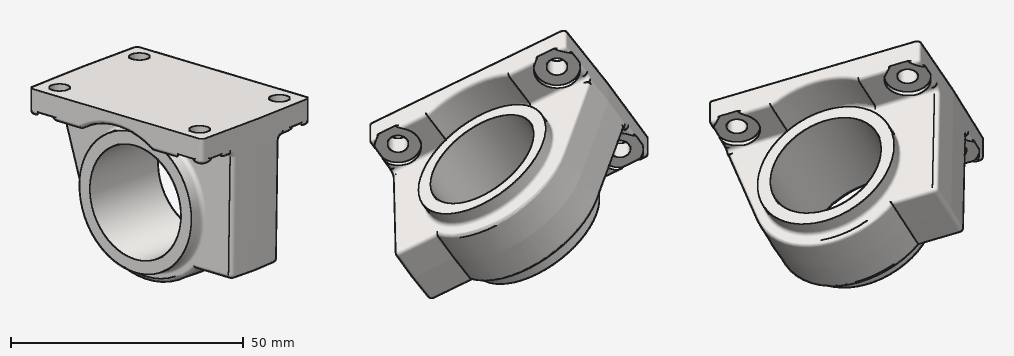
import cadquery as cq
import math

plate_length = 50.0
plate_width = 35.0
plate_thickness = 6.0
hole_diameter = 4.5
hole_spacing_x = 40.0
hole_spacing_y = 26.0
spotface_diameter = 10.0
spotface_depth = 1.0

housing_width = 15.0
housing_radius = 19.0
bore_drop = 22.0
bore_diameter = 26.0
collar_diameter = 32.0
collar_length = 22.25
foot_drop = 35.0
overlap = 2.0

draft_angle = 1.0
round_radius = 1.0

draft_slope = math.tan(math.radians(draft_angle))
half_length = plate_length / 2
half_width = plate_width / 2
half_housing = housing_width / 2
half_neck = half_housing + round_radius
neck_drop = plate_thickness + round_radius
housing_top = overlap - plate_thickness
arc_bend = round_radius * (1 - math.sqrt(0.5))

flank_start = (-half_length, -plate_thickness)
flank_rise = bore_drop - plate_thickness
tangent_angle = math.atan2(flank_rise, -half_length) + math.acos(
    housing_radius / math.hypot(half_length, flank_rise)
)
flank_end = (
    housing_radius * math.cos(tangent_angle),
    housing_radius * math.sin(tangent_angle) - bore_drop,
)


def end_x(y):
    """X of the drafted end face at a distance y from the parting plane Y = 0."""
    return half_length - y * draft_slope


def mirror_across_parting(half):
    """Half on the +Y side joined with its mirror image on the -Y side."""
    return half.union(half.mirror("XZ"))


def make_plate():
    """Plate drafted at both ends, with rounded corners and lower edges."""
    outline = [
        (half_length, 0),
        (end_x(half_width), half_width),
        (-end_x(half_width), half_width),
        (-half_length, 0),
        (-end_x(half_width), -half_width),
        (end_x(half_width), -half_width),
    ]
    plate = cq.Workplane("XY").polyline(outline).close().extrude(-plate_thickness)
    corners = plate.edges("|Z").edges(">Y or <Y")
    return corners.add(plate.edges("<Z")).fillet(round_radius)


def make_neck():
    """Root of the housing, widened by inner fillets that run out in rounded ends."""
    outline = [
        (half_length, housing_top),
        (-half_length, housing_top),
        flank_start,
        flank_end,
        (half_length, flank_end[1]),
    ]
    half = cq.Workplane("XZ").polyline(outline).close().extrude(-half_neck, taper=draft_angle)
    below_neck = cq.Workplane("XY", origin=(0, 0, -neck_drop)).rect(2 * plate_length, 2 * plate_width)
    half = half.cut(below_neck.extrude(-bore_drop))

    end = end_x(half_housing - round_radius)
    lip = end - round_radius
    flare = 2 * round_radius
    cove = (
        cq.Workplane("XY", origin=(0, half_neck, -neck_drop))
        .moveTo(-end, 0)
        .lineTo(-end, -flare)
        .threePointArc((arc_bend - end, -round_radius - arc_bend), (-lip, -round_radius))
        .lineTo(lip, -round_radius)
        .threePointArc((end - arc_bend, -round_radius - arc_bend), (end, -flare))
        .lineTo(end, 0)
        .close()
        .revolve(90, (0, 0, 0), (-1, 0, 0))
    )
    return mirror_across_parting(half.cut(cove))


def make_arch_relief():
    """Turned clearance over each collar, filleted to the housing and rounded at the plate's side."""
    inner = housing_radius - round_radius
    outer = housing_radius + round_radius
    lip = half_width - round_radius
    relief = (
        cq.Workplane("XY", origin=(0, 0, -bore_drop))
        .moveTo(0, half_housing)
        .lineTo(inner, half_housing)
        .threePointArc((housing_radius - arc_bend, half_housing + arc_bend), (housing_radius, half_neck))
        .lineTo(housing_radius, lip)
        .threePointArc((housing_radius + arc_bend, half_width - arc_bend), (outer, half_width))
        .lineTo(0, half_width)
        .close()
        .revolve(360, (0, 0, 0), (0, 1, 0))
    )
    return mirror_across_parting(relief)


def make_housing():
    """Drafted web with a sloping left flank, a round underside and a square right foot."""
    round_half = (
        cq.Workplane("XZ")
        .moveTo(housing_radius, housing_top)
        .lineTo(-half_length, housing_top)
        .lineTo(*flank_start)
        .lineTo(*flank_end)
        .threePointArc((0, -bore_drop - housing_radius), (housing_radius, -bore_drop))
        .close()
        .extrude(-half_housing, taper=draft_angle)
    )
    round_half = round_half.faces(">Y").edges("not >Z").fillet(round_radius)

    foot_bottom_x = half_length - (foot_drop - neck_drop) * draft_slope
    foot_outline = [
        (half_length, housing_top),
        (0, housing_top),
        (0, -foot_drop),
        (foot_bottom_x, -foot_drop),
        (half_length, -neck_drop),
    ]
    foot_half = cq.Workplane("XZ").polyline(foot_outline).close()
    foot_half = foot_half.extrude(-half_housing, taper=draft_angle)
    foot_corner = foot_half.faces("<Z").edges(">X")
    foot_rim = foot_half.faces(">Y").edges("not (>Z or <X)")
    foot_half = foot_corner.add(foot_rim).fillet(round_radius)

    return mirror_across_parting(round_half.union(foot_half))


def make_collars():
    """Turned collar on each side of the housing, with a filleted root."""
    radius = collar_diameter / 2
    half = (
        cq.Workplane("XY", origin=(0, 0, -bore_drop))
        .lineTo(radius + round_radius, 0)
        .lineTo(radius + round_radius, half_housing)
        .threePointArc((radius + arc_bend, half_housing + arc_bend), (radius, half_neck))
        .lineTo(radius, collar_length / 2)
        .lineTo(0, collar_length / 2)
        .close()
        .revolve(360, (0, 0, 0), (0, 1, 0))
    )
    return mirror_across_parting(half)


def make_bore():
    """Bearing bore through the housing and both collars."""
    bore = cq.Workplane("XZ", origin=(0, 0, -bore_drop)).circle(bore_diameter / 2)
    return bore.extrude(plate_width, both=True)


def make_bolt_holes():
    """Four bolt holes through the plate with shallow spotfaces underneath."""
    hole_grid = cq.Workplane("XY").rect(hole_spacing_x, hole_spacing_y, forConstruction=True)
    holes = hole_grid.vertices().circle(hole_diameter / 2).extrude(-neck_drop)
    seat_z = spotface_depth - plate_thickness
    spotface_grid = cq.Workplane("XY", origin=(0, 0, seat_z))
    spotface_grid = spotface_grid.rect(hole_spacing_x, hole_spacing_y, forConstruction=True)
    spotfaces = spotface_grid.vertices().circle(spotface_diameter / 2).extrude(-neck_drop - seat_z)
    return holes.union(spotfaces)


plate = make_plate().union(make_neck()).cut(make_arch_relief())
housing = make_housing().union(make_collars())
result = plate.union(housing).cut(make_bolt_holes()).cut(make_bore())